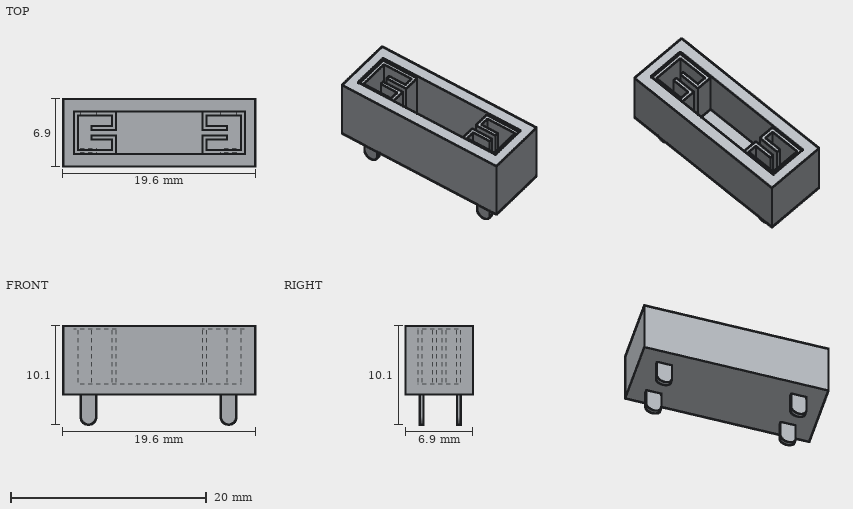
import cadquery as cq

LENGTH = 19.61
WIDTH = 6.9
HEIGHT = 7.02
END_WALL = 1.08
SIDE_WALL = 1.3
FLOOR = 1.08
CAVITY_LENGTH = LENGTH - 2 * END_WALL
CAVITY_WIDTH = WIDTH - 2 * SIDE_WALL

GRIP_LENGTH = 4.31
GRIP_WALL = 0.41
GRIP_RECESS = 0.33
GRIP_HEIGHT = HEIGHT - FLOOR - GRIP_RECESS
LIP_LENGTH = 2.5
LIP_GAP = 0.59

PIN_WIDTH = 1.6
PIN_THICKNESS = 0.41
PIN_LENGTH = 3.08
PIN_RADIUS = PIN_WIDTH / 2
PIN_PITCH_X = 14.3
PIN_PITCH_Y = 3.8
PIN_CENTRE_X = -0.08
PIN_CENTRE_Y = 0.1


def make_grip(end):
    """One grip at the -X (end = -1) or +X (end = 1) end of the cavity."""
    back = end * CAVITY_LENGTH / 2
    front = back - end * GRIP_LENGTH
    back_inside = back - end * GRIP_WALL
    front_inside = front + end * GRIP_WALL
    lip_end = front + end * LIP_LENGTH
    outer_y = CAVITY_WIDTH / 2
    inner_y = outer_y - GRIP_WALL
    gap_y = LIP_GAP / 2
    lip_y = gap_y + GRIP_WALL
    half_outline = [
        (back, outer_y),
        (front, outer_y),
        (front, gap_y),
        (lip_end, gap_y),
        (lip_end, lip_y),
        (front_inside, lip_y),
        (front_inside, inner_y),
        (back_inside, inner_y),
    ]
    mirrored_half = [(x, -y) for x, y in reversed(half_outline)]
    outline = half_outline + mirrored_half
    return cq.Workplane("XY", origin=(0, 0, FLOOR)).polyline(outline).close().extrude(GRIP_HEIGHT)


def make_housing():
    """Box with a rectangular cavity and a grip at each end."""
    box = cq.Workplane("XY").box(LENGTH, WIDTH, HEIGHT, centered=(True, True, False))
    cavity = (
        cq.Workplane("XY", origin=(0, 0, FLOOR))
        .rect(CAVITY_LENGTH, CAVITY_WIDTH)
        .extrude(HEIGHT - FLOOR)
    )
    housing = box.cut(cavity)
    for end in (-1, 1):
        housing = housing.union(make_grip(end))
    return housing


def make_pin(x, y):
    """Flat pin hanging from the housing underside, centred on (x, y)."""
    tip_start = PIN_RADIUS - PIN_LENGTH
    return (
        cq.Workplane("XZ", origin=(x, y, 0))
        .moveTo(-PIN_RADIUS, 0)
        .lineTo(-PIN_RADIUS, tip_start)
        .threePointArc((0, -PIN_LENGTH), (PIN_RADIUS, tip_start))
        .lineTo(PIN_RADIUS, 0)
        .close()
        .extrude(PIN_THICKNESS / 2, both=True)
    )


housing = make_housing()
pins = []
for side_x in (-1, 1):
    for side_y in (-1, 1):
        pin_x = PIN_CENTRE_X + side_x * PIN_PITCH_X / 2
        pin_y = PIN_CENTRE_Y + side_y * PIN_PITCH_Y / 2
        pins.append(make_pin(pin_x, pin_y).val())

result = cq.Compound.makeCompound([housing.val(), *pins])